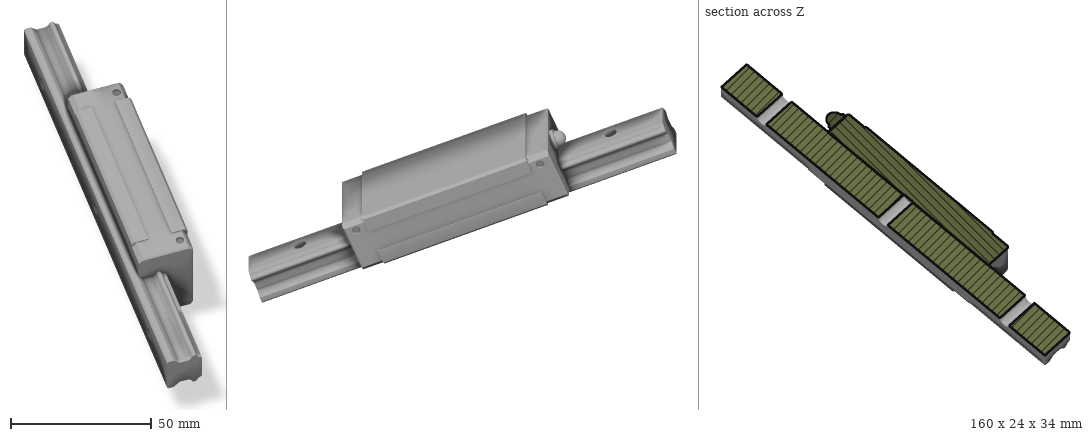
import cadquery as cq
import math

rail_length = 160.0
rail_height = 13.1
rail_half_width = 7.5
rail_waist_half_width = 5.5
rail_base_edge_chamfer = 0.6
rail_base_height = 2.5
waist_start = rail_base_height + rail_half_width - rail_waist_half_width
waist_end = 8.0
ridge_foot_low = 9.0
ridge_foot_high = 11.7
ridge_foot_half_width = 6.0
ridge_center = 10.4
ridge_crest_width = 1.6
ridge_crest_rise = 0.5
rail_top_half_width = 5.3
rail_hole_count = 3
rail_hole_pitch = 60.0
rail_hole_diameter = 4.5

carriage_length = 79.5
carriage_width = 34.0
carriage_bottom = 3.0
carriage_top = 24.0
pad_edge_chamfer = 1.0
pad_length = 63.2
pad_height = 0.5
groove_low = 9.1
groove_high = 18.0
end_edge_chamfer = 1.8
end_rim_chamfer = 0.5
plug_hole_spacing = 70.9
plug_hole_height = 19.8
plug_hole_diameter = 3.0
plug_hole_depth = 1.0

nipple_height = 18.4
nipple_flange_diameter = 7.5
nipple_flange_thickness = 1.5
nipple_head_diameter = 6.0
nipple_neck_length = 0.5


def rail_bar():
    """Bar with the full rail section, without the mounting holes."""
    crest_foot_half_width = rail_half_width - ridge_crest_rise
    half_bar = (
        cq.Workplane("YZ", origin=(-rail_length / 2, 0, 0))
        .lineTo(0, rail_half_width - rail_base_edge_chamfer)
        .lineTo(rail_base_edge_chamfer, rail_half_width)
        .lineTo(rail_base_height, rail_half_width)
        .lineTo(waist_start, rail_waist_half_width)
        .lineTo(waist_end, rail_waist_half_width)
        .lineTo(ridge_foot_low, ridge_foot_half_width)
        .lineTo(ridge_center - ridge_crest_width / 2, crest_foot_half_width)
        .threePointArc(
            (ridge_center, rail_half_width),
            (ridge_center + ridge_crest_width / 2, crest_foot_half_width),
        )
        .lineTo(ridge_foot_high, ridge_foot_half_width)
        .lineTo(rail_height, rail_top_half_width)
        .lineTo(rail_height, 0)
        .close()
        .extrude(rail_length)
    )
    return half_bar.union(half_bar.mirror("XY")).clean()


def make_rail():
    holes = (
        cq.Workplane("XZ")
        .rarray(rail_hole_pitch, 1.6, rail_hole_count, 1)
        .circle(rail_hole_diameter / 2)
        .extrude(-rail_height)
    )
    return rail_bar().cut(holes)


def carriage_block(length, width, top):
    """Plain block along X from the carriage underside up to top."""
    height = top - carriage_bottom
    return cq.Workplane("XY").box(length, height, width).translate((0, carriage_bottom + height / 2, 0))


def make_carriage():
    core_width = carriage_width - 2 * pad_height
    core_block = carriage_block(carriage_length, core_width, carriage_top - pad_height)
    rimmed_block = core_block.faces("<X or >X").edges("not <Y").chamfer(end_rim_chamfer)
    core = core_block.edges("|X").chamfer(end_edge_chamfer).intersect(rimmed_block)

    middle = carriage_block(pad_length, carriage_width, carriage_top)
    middle = middle.edges("|X").chamfer(pad_edge_chamfer)
    for side in (-1, 1):
        groove = cq.Workplane("XY").box(pad_length, groove_high - groove_low, 2 * pad_height)
        groove_middle = (groove_low + groove_high) / 2
        middle = middle.cut(groove.translate((0, groove_middle, side * carriage_width / 2)))

    plug_holes = (
        cq.Workplane("XY", origin=(0, plug_hole_height, core_width / 2))
        .rarray(plug_hole_spacing, 1.6, 2, 1)
        .circle(plug_hole_diameter / 2)
        .extrude(-plug_hole_depth)
    )
    return core.union(middle).cut(plug_holes).cut(plug_holes.mirror("XY")).cut(rail_bar())


def make_nipple():
    """Disc flange with a round-nosed head, revolved about an axis along X."""
    flange_radius = nipple_flange_diameter / 2
    head_radius = nipple_head_diameter / 2
    neck_end = nipple_flange_thickness + nipple_neck_length
    diagonal = head_radius * math.sqrt(0.5)
    return (
        cq.Workplane("XY")
        .lineTo(0, flange_radius)
        .lineTo(-nipple_flange_thickness, flange_radius)
        .lineTo(-nipple_flange_thickness, head_radius)
        .lineTo(-neck_end, head_radius)
        .threePointArc((-neck_end - diagonal, diagonal), (-neck_end - head_radius, 0))
        .close()
        .revolve(360, (0, 0, 0), (1, 0, 0))
        .translate((-carriage_length / 2, nipple_height, 0))
    )


rail = make_rail()
carriage = make_carriage()
nipple = make_nipple()

result = cq.Compound.makeCompound([rail.val(), carriage.val(), nipple.val()])